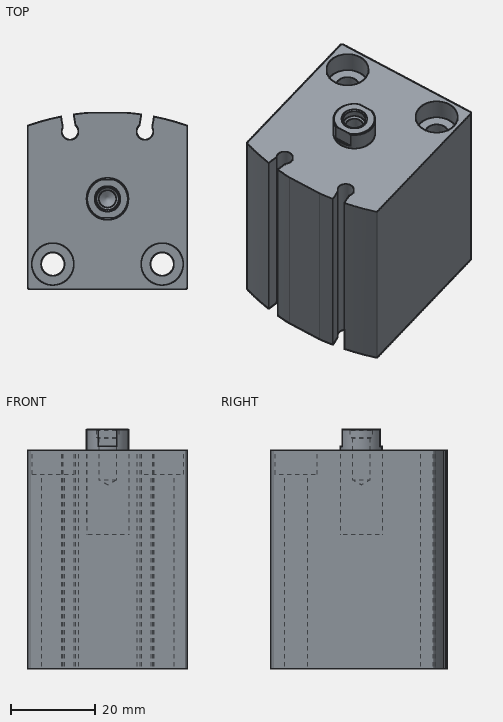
import cadquery as cq
import math


WIDTH = 38.0
DEPTH = 42.0
HEIGHT = 52.0
FRONT_Y = -21.5
BACK_Y = FRONT_Y + DEPTH
FRONT_EDGE_RADIUS = 0.5
CROWN_EDGE_RADIUS = 0.3

CROWN_RADIUS = 57.0
CROWN_RISE = 0.17
CROWN_CENTER_Y = BACK_Y + CROWN_RISE - CROWN_RADIUS

SLOT_ANGLE = 9.65
SLOT_NECK_WIDTH = 3.0
SLOT_ROUND_DIAMETER = 3.9
SLOT_ROUND_FROM_CENTER = 53.1
SLOT_OVERRUN = 3.0

MOUNT_SPACING = 26.0
MOUNT_FROM_FRONT = 6.0
MOUNT_HOLE_DIAMETER = 5.5
MOUNT_BORE_DIAMETER = 10.0
MOUNT_BORE_DEPTH = 5.7

ROD_DIAMETER = 10.0
ROD_PROTRUSION = 5.0
ROD_ENGAGEMENT = 20.0
ROD_TOP_Z = HEIGHT + ROD_PROTRUSION
ROD_BOTTOM_Z = HEIGHT - ROD_ENGAGEMENT
ROD_CHAMFER = 0.2

FLATS_ACROSS = 9.0
FLATS_BOTTOM_Z = HEIGHT + 0.9

THREAD_DIAMETER = 4.13
RECESS_DIAMETER = 5.3
COUNTERSINK_DIAMETER = 6.1
RECESS_DEPTH = 1.9
THREAD_DEPTH = 12.0
CONE_ANGLE = 120.0
CONE_SLOPE = 1 / math.tan(math.radians(CONE_ANGLE / 2))


def crown_y(x):
    """Y position of the crown arc at a distance x from the middle plane."""
    return CROWN_CENTER_Y + math.sqrt(CROWN_RADIUS**2 - x**2)


def housing_block():
    half_width = WIDTH / 2
    flat_half = math.sqrt(CROWN_RADIUS**2 - (CROWN_RADIUS - CROWN_RISE) ** 2)
    arc_middle = (half_width + flat_half) / 2
    block = (
        cq.Workplane("XY")
        .moveTo(-half_width, FRONT_Y)
        .lineTo(half_width, FRONT_Y)
        .lineTo(half_width, crown_y(half_width))
        .threePointArc((arc_middle, crown_y(arc_middle)), (flat_half, BACK_Y))
        .lineTo(-flat_half, BACK_Y)
        .threePointArc((-arc_middle, crown_y(arc_middle)), (-half_width, crown_y(half_width)))
        .close()
        .extrude(HEIGHT)
    )
    block = block.edges("|Z and <Y").fillet(FRONT_EDGE_RADIUS)
    crown_edges = block.edges("|Z").edges("<X or >X").edges(">Y")
    return crown_edges.fillet(CROWN_EDGE_RADIUS)


def keyhole_slot(angle):
    """Slot cutter: a round channel with a parallel neck that opens through the crown."""
    neck_length = CROWN_RADIUS - SLOT_ROUND_FROM_CENTER + SLOT_OVERRUN
    round_channel = (
        cq.Workplane("XY")
        .center(0, SLOT_ROUND_FROM_CENTER)
        .circle(SLOT_ROUND_DIAMETER / 2)
        .extrude(HEIGHT)
    )
    neck = (
        cq.Workplane("XY")
        .center(0, SLOT_ROUND_FROM_CENTER + neck_length / 2)
        .rect(SLOT_NECK_WIDTH, neck_length)
        .extrude(HEIGHT)
    )
    slot = round_channel.union(neck)
    return slot.rotate((0, 0, 0), (0, 0, 1), angle).translate((0, CROWN_CENTER_Y, 0))


def rod_cylinder():
    """Plain rod, also used to cut the matching blind bore in the housing."""
    return (
        cq.Workplane("XY")
        .workplane(offset=ROD_BOTTOM_Z)
        .circle(ROD_DIAMETER / 2)
        .extrude(ROD_TOP_Z - ROD_BOTTOM_Z)
    )


def make_housing():
    housing = housing_block()
    for angle in (-SLOT_ANGLE, SLOT_ANGLE):
        housing = housing.cut(keyhole_slot(angle))
    mount_y = FRONT_Y + MOUNT_FROM_FRONT
    housing = (
        housing.faces(">Z")
        .workplane(origin=(0, 0, HEIGHT))
        .pushPoints([(-MOUNT_SPACING / 2, mount_y), (MOUNT_SPACING / 2, mount_y)])
        .cboreHole(MOUNT_HOLE_DIAMETER, MOUNT_BORE_DIAMETER, MOUNT_BORE_DEPTH)
    )
    return housing.cut(rod_cylinder())


def tapped_hole():
    """Cutter for the rod end: countersink, plain recess, thread core and drill point."""
    thread_radius = THREAD_DIAMETER / 2
    recess_radius = RECESS_DIAMETER / 2
    countersink_radius = COUNTERSINK_DIAMETER / 2
    countersink_depth = (countersink_radius - recess_radius) * CONE_SLOPE
    recess_cone_depth = (recess_radius - thread_radius) * CONE_SLOPE
    drill_point_depth = thread_radius * CONE_SLOPE
    return (
        cq.Workplane("XZ")
        .moveTo(0, ROD_TOP_Z)
        .lineTo(countersink_radius, ROD_TOP_Z)
        .lineTo(recess_radius, ROD_TOP_Z - countersink_depth)
        .lineTo(recess_radius, ROD_TOP_Z - RECESS_DEPTH)
        .lineTo(thread_radius, ROD_TOP_Z - RECESS_DEPTH - recess_cone_depth)
        .lineTo(thread_radius, ROD_TOP_Z - THREAD_DEPTH)
        .lineTo(0, ROD_TOP_Z - THREAD_DEPTH - drill_point_depth)
        .close()
        .revolve(360, (0, 0, 0), (0, 1, 0))
    )


def make_rod():
    rod = rod_cylinder().faces(">Z").chamfer(ROD_CHAMFER)
    flat_height = ROD_TOP_Z - FLATS_BOTTOM_Z
    for side in (-1, 1):
        flat_cutter = cq.Workplane("XY").box(
            ROD_DIAMETER, ROD_DIAMETER, flat_height, centered=(True, True, False)
        )
        cutter_y = side * (FLATS_ACROSS + ROD_DIAMETER) / 2
        rod = rod.cut(flat_cutter.translate((0, cutter_y, FLATS_BOTTOM_Z)))
    return rod.cut(tapped_hole())


housing = make_housing()
rod = make_rod()
result = cq.Compound.makeCompound([housing.val(), rod.val()])